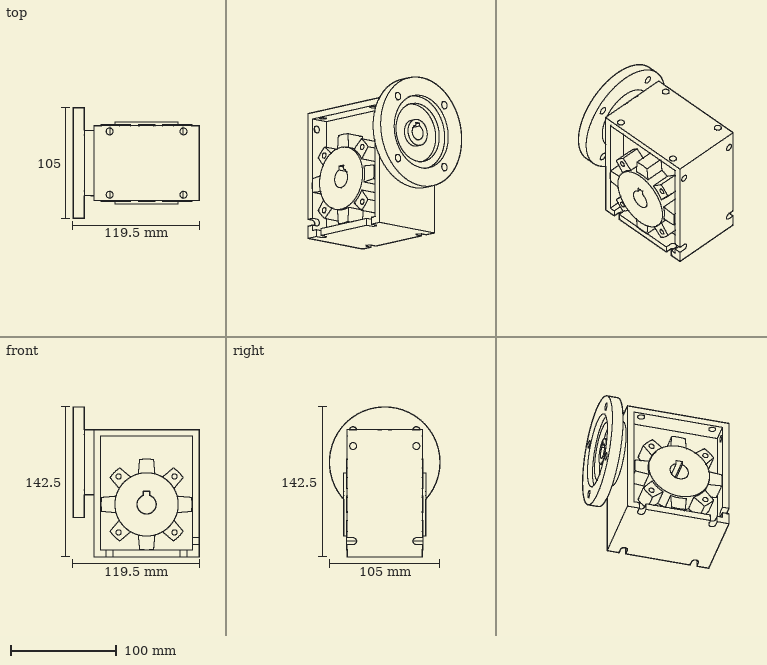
import cadquery as cq
import math


box_length = 100.0
box_depth = 71.1
box_height = 121.0
box_bottom = -box_length / 2
box_top = box_bottom + box_height
side_wall = 6.5
top_wall = 6.3
bottom_wall = 6.7
pocket_depth = 17.8
half_depth = box_depth / 2
web_face = half_depth - pocket_depth

hub_diameter = 60.0
hub_length = 78.0
hub_face = hub_length / 2
bore_diameter = 18.0
keyway_width = 6.0
keyway_top = 12.3

arm_protrusion = 0.9
arm_face = half_depth + arm_protrusion
arm_reach = 43.0
arm_draft = 5
rib_tip_width = 13.3
lug_tip_width = 13.0
screw_circle_diameter = 75.0
screw_diameter = 5.0
screw_depth = 10
screw_point_angle = 118

mount_hole_diameter = 6.5
mount_spacing_x = 70.0
mount_spacing_y = 60.0
end_slot_height = 15.2
end_hole_spacing = 90.0

flange_diameter = 105.0
flange_thickness = 10.5
neck_diameter = 62.0
neck_length = 9.0
input_axis_z = box_top - neck_diameter / 2
neck_start = -box_length / 2 - neck_length
flange_face = neck_start - flange_thickness
spigot_diameter = 70.0
spigot_depth = 5.0
recess_diameter = 56.0
recess_depth = 5.0
input_boss_diameter = 25.0
input_boss_height = 5.0
input_bore_diameter = 14.1
input_bore_depth = 29.9
input_keyway_width = 4.8
input_keyway_top = 9.4
flange_hole_diameter = 7.0
flange_hole_spacing = 60.0


def cylinder_x(diameter, x_start, x_end, y, z):
    """Cylinder along X between two X positions."""
    base = cq.Workplane("YZ", origin=(x_start, y, z))
    return base.circle(diameter / 2).extrude(x_end - x_start)


def cylinder_y(diameter, y_start, y_end):
    """Cylinder about the Y axis between two Y positions."""
    base = cq.Workplane("XZ", origin=(0, y_start, 0))
    return base.circle(diameter / 2).extrude(y_start - y_end)


def block(x_range, y_range, z_range):
    """Axis-aligned block given by its limits."""
    size = [high - low for low, high in (x_range, y_range, z_range)]
    corner = (x_range[0], y_range[0], z_range[0])
    return cq.Workplane("XY").box(*size, centered=False).translate(corner)


def make_box():
    """Box with a deep window in the front and the back, leaving a middle web."""
    half_length = box_length / 2
    inner_half = half_length - side_wall
    body = block((-half_length, half_length), (-half_depth, half_depth), (box_bottom, box_top))
    window_z = (box_bottom + bottom_wall, box_top - top_wall)
    for y_range in ((-half_depth, -web_face), (web_face, half_depth)):
        body = body.cut(block((-inner_half, inner_half), y_range, window_z))
    return body


def radial_arm(tip_width, angle):
    """Arm on both faces of the web, widening towards the hub; its tip is an arc about the hub axis."""
    tip_half = tip_width / 2
    corner = math.sqrt(arm_reach**2 - tip_half**2)
    root_half = tip_half + corner * math.tan(math.radians(arm_draft))
    arm = (
        cq.Workplane("XZ", origin=(0, arm_face, 0))
        .moveTo(0, -root_half)
        .lineTo(corner, -tip_half)
        .threePointArc((arm_reach, 0), (corner, tip_half))
        .lineTo(0, root_half)
        .close()
        .extrude(2 * arm_face)
    )
    return arm.rotate((0, 0, 0), (0, 1, 0), angle)


def add_hub(body):
    """Output hub with four ribs on the axes and four lugs on the diagonals."""
    body = body.union(cylinder_y(hub_diameter, -hub_face, hub_face))
    for quarter in range(4):
        angle = 90 * quarter
        body = body.union(radial_arm(rib_tip_width, angle))
        body = body.union(radial_arm(lug_tip_width, angle + 45))
    return body


def cut_output_bore(body):
    """Through bore of the hub with its keyway."""
    bore = cylinder_y(bore_diameter, -hub_face, hub_face)
    keyway = block((-keyway_width / 2, keyway_width / 2), (-hub_face, hub_face), (0, keyway_top))
    return body.cut(bore).cut(keyway)


def cut_screw_holes(body):
    """Blind holes with a conical drill point in the lugs, from both faces."""
    radius = screw_diameter / 2
    point_depth = radius / math.tan(math.radians(screw_point_angle / 2))
    offset = screw_circle_diameter / 2 * math.sqrt(0.5)
    drill = (
        cq.Workplane("XY")
        .moveTo(0, -arm_face)
        .lineTo(radius, -arm_face)
        .lineTo(radius, -arm_face + screw_depth)
        .lineTo(0, -arm_face + screw_depth + point_depth)
        .close()
        .revolve(360, (0, 0, 0), (0, 1, 0))
    )
    drills = drill.union(drill.mirror("XZ"))
    for x in (-offset, offset):
        for z in (-offset, offset):
            body = body.cut(drills.translate((x, 0, z)))
    return body


def cut_mounting(body):
    """Round holes in the top and +X walls; round-ended slots open to the front and back below."""
    end_x = box_length / 2
    half_y = mount_spacing_y / 2
    hole_radius = mount_hole_diameter / 2
    for side in (-1, 1):
        y = side * half_y
        slot_y = sorted((y, side * half_depth))
        for x in (-mount_spacing_x / 2, mount_spacing_x / 2):
            top_base = cq.Workplane("XY", origin=(x, y, box_top))
            body = body.cut(top_base.circle(hole_radius).extrude(-top_wall))
            bottom_base = cq.Workplane("XY", origin=(x, y, box_bottom))
            body = body.cut(bottom_base.circle(hole_radius).extrude(bottom_wall))
            bottom_z = (box_bottom, box_bottom + bottom_wall)
            body = body.cut(block((x - hole_radius, x + hole_radius), slot_y, bottom_z))
        low_z = box_bottom + end_slot_height
        wall_x = (end_x - side_wall, end_x)
        body = body.cut(cylinder_x(mount_hole_diameter, *wall_x, y, low_z + end_hole_spacing))
        body = body.cut(cylinder_x(mount_hole_diameter, *wall_x, y, low_z))
        body = body.cut(block(wall_x, slot_y, (low_z - hole_radius, low_z + hole_radius)))
    return body


def add_flange(body):
    """Round input flange on a short neck, with a stepped recess and a central keyed boss."""

    def disc(diameter, x_start, x_end, y=0, z=0):
        return cylinder_x(diameter, x_start, x_end, y, input_axis_z + z)

    recess_face = flange_face + spigot_depth
    floor = recess_face + recess_depth
    boss_end = floor - input_boss_height
    bore_end = boss_end + input_bore_depth

    body = body.union(disc(flange_diameter, flange_face, neck_start))
    body = body.union(disc(neck_diameter, neck_start, -box_length / 2))
    body = body.cut(disc(spigot_diameter, flange_face, recess_face))
    body = body.cut(disc(recess_diameter, recess_face, floor))
    body = body.union(disc(input_boss_diameter, boss_end, floor))
    body = body.cut(disc(input_bore_diameter, boss_end, bore_end))
    keyway_y = (-input_keyway_width / 2, input_keyway_width / 2)
    keyway_z = (input_axis_z, input_axis_z + input_keyway_top)
    body = body.cut(block((boss_end, bore_end), keyway_y, keyway_z))
    half_spacing = flange_hole_spacing / 2
    for y in (-half_spacing, half_spacing):
        for z in (-half_spacing, half_spacing):
            body = body.cut(disc(flange_hole_diameter, flange_face, neck_start, y, z))
    return body


result = make_box()
result = add_hub(result)
result = cut_output_bore(result)
result = cut_screw_holes(result)
result = cut_mounting(result)
result = add_flange(result)